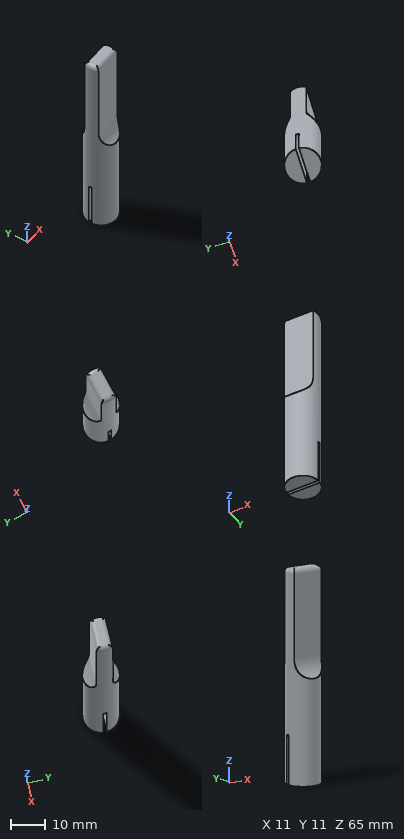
import cadquery as cq
import math

length = 65.0
diameter = 11.0
blade_thickness = 5.0
blade_start = 38.15
runout_radius = 7.5
tip_fillet = 1.5
slot_width = 1.0
slot_depth = 15.0

radius = diameter / 2
half_blade = blade_thickness / 2


def flat_cutter(side):
    """Material removed beside the blade; side is +1 or -1 along Y."""
    arc_center_y = half_blade + runout_radius
    arc_mid_offset = runout_radius * math.sqrt(0.5)
    return (
        cq.Workplane("YZ")
        .moveTo(side * half_blade, length)
        .lineTo(side * half_blade, blade_start)
        .threePointArc(
            (side * (arc_center_y - arc_mid_offset), blade_start - arc_mid_offset),
            (side * arc_center_y, blade_start - runout_radius),
        )
        .lineTo(side * arc_center_y, length)
        .close()
        .extrude(radius, both=True)
    )


def slot_cutter():
    """Round-ended slot through the shank along X, open at the bottom."""
    half_slot = slot_width / 2
    shoulder = slot_depth - half_slot
    return (
        cq.Workplane("YZ")
        .moveTo(-half_slot, 0)
        .lineTo(-half_slot, shoulder)
        .threePointArc((0, slot_depth), (half_slot, shoulder))
        .lineTo(half_slot, 0)
        .close()
        .extrude(radius, both=True)
    )


pin = cq.Workplane("XY").circle(radius).extrude(length)
for side in (1, -1):
    pin = pin.cut(flat_cutter(side))

pin = pin.faces(">Z").edges().fillet(tip_fillet)
result = pin.cut(slot_cutter())